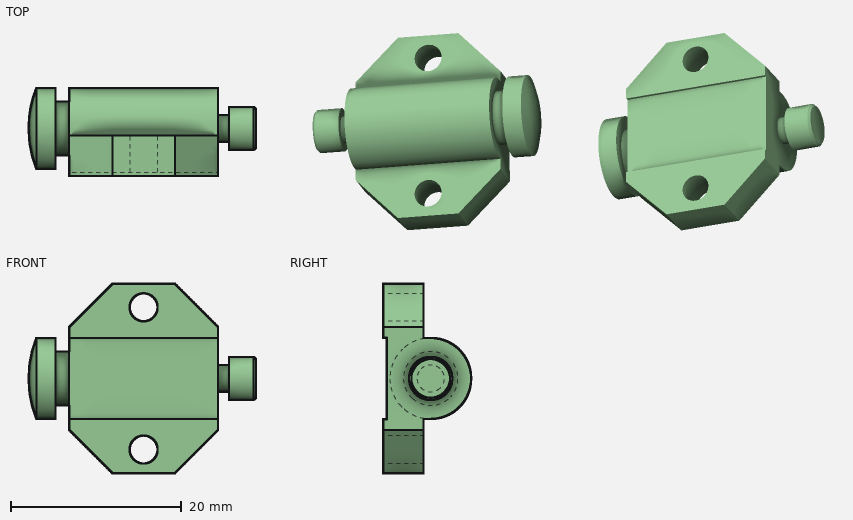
import cadquery as cq
import math

plate_width = 17.4625
plate_height = 22.225
plate_thickness = 4.75
corner_cut = 5.08
hole_diameter = 3.25
hole_offset = 8.335
recess_height = 9.525
recess_depth = 0.4

barrel_radius = recess_height / 2
total_depth = 10.33
axis_y = total_depth - barrel_radius

knob_radius = barrel_radius
knob_neck_radius = 3.175
knob_neck_length = 1.5875
knob_length = 3.175
dome_radius = 12.7

tip_radius = 2.54
tip_neck_radius = 1.5875
tip_neck_length = 1.27
tip_length = 3.175
tip_chamfer = 0.27

left_face = -plate_width / 2
right_face = plate_width / 2


def make_plate():
    """Octagonal plate with two through holes and a shallow full-width front recess."""
    plate = (
        cq.Workplane("XY")
        .box(plate_width, plate_thickness, plate_height)
        .edges("|Y")
        .chamfer(corner_cut)
        .translate((0, plate_thickness / 2, 0))
    )
    holes = (
        cq.Workplane("XZ")
        .pushPoints([(0, hole_offset), (0, -hole_offset)])
        .circle(hole_diameter / 2)
        .extrude(-plate_thickness)
    )
    recess = cq.Workplane("XY").box(plate_width, 2 * recess_depth, recess_height)
    return plate.cut(holes).cut(recess)


def make_barrel():
    """Housing with a round back and flat sides that run into the plate."""
    return (
        cq.Workplane("YZ", origin=(left_face, 0, 0))
        .moveTo(recess_depth, -barrel_radius)
        .lineTo(axis_y, -barrel_radius)
        .threePointArc((total_depth, 0), (axis_y, barrel_radius))
        .lineTo(recess_depth, barrel_radius)
        .close()
        .extrude(plate_width)
    )


def revolve_on_axis(profile):
    """Turn a closed XY profile a full revolution about the plunger axis."""
    return profile.revolve(360, (0, 0, 0), (1, 0, 0))


def make_knob():
    """Neck and disc-shaped knob with a spherical end."""
    knob_back = left_face - knob_neck_length
    apex = knob_back - knob_length
    dome_centre = apex + dome_radius
    rim_angle = math.asin(knob_radius / dome_radius)
    rim_x = dome_centre - dome_radius * math.cos(rim_angle)
    arc_mid = (
        dome_centre - dome_radius * math.cos(rim_angle / 2),
        dome_radius * math.sin(rim_angle / 2),
    )
    profile = (
        cq.Workplane("XY", origin=(0, axis_y, 0))
        .moveTo(left_face, 0)
        .lineTo(left_face, knob_neck_radius)
        .lineTo(knob_back, knob_neck_radius)
        .lineTo(knob_back, knob_radius)
        .lineTo(rim_x, knob_radius)
        .threePointArc(arc_mid, (apex, 0))
        .close()
    )
    return revolve_on_axis(profile)


def make_tip():
    """Neck and cylindrical latch tip with a chamfered end."""
    tip_start = right_face + tip_neck_length
    tip_end = tip_start + tip_length
    profile = (
        cq.Workplane("XY", origin=(0, axis_y, 0))
        .moveTo(right_face, 0)
        .lineTo(right_face, tip_neck_radius)
        .lineTo(tip_start, tip_neck_radius)
        .lineTo(tip_start, tip_radius)
        .lineTo(tip_end - tip_chamfer, tip_radius)
        .lineTo(tip_end, tip_radius - tip_chamfer)
        .lineTo(tip_end, 0)
        .close()
    )
    return revolve_on_axis(profile)


result = make_plate().union(make_barrel()).union(make_knob()).union(make_tip())